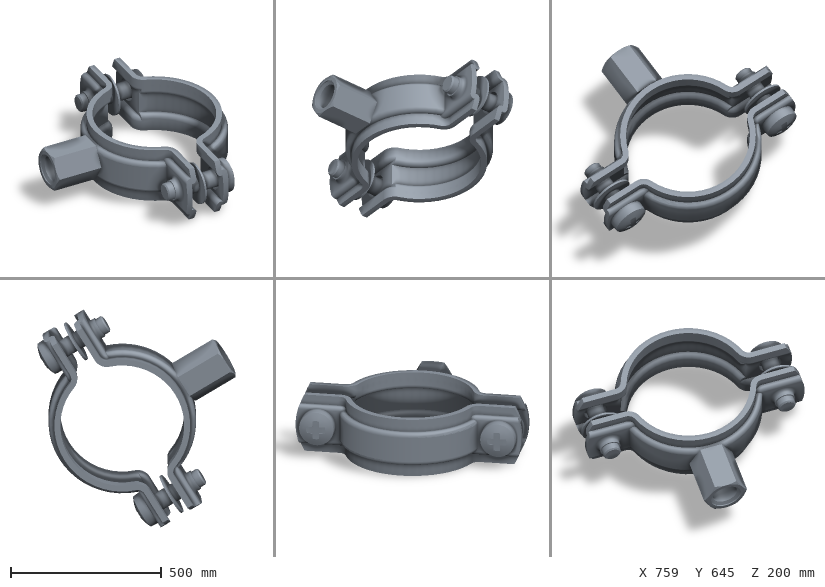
import cadquery as cq
import math

OVERALL_LENGTH = 759.0
BAND_WIDTH = 200.0
PLATE_THICKNESS = 20.0
RING_INNER_RADIUS = 205.0
FLANGE_FACE_Y = 38.0
BEND_START_X = 237.0
FLANGE_END_RADIUS = 196.5

BEAD_HEIGHT = 20.0
FLANGE_BEAD_HALF_WIDTH = 69.0
RING_BEAD_HALF_WIDTH = 58.0
BEAD_WALL = 18.0
FLANGE_BEAD_FILLET = 14.0
RING_BEAD_FILLET = 15.0
LIP_FILLET = 15.0

SCREW_X = 304.5
SHANK_DIAMETER = 60.0
CLEARANCE_HOLE_DIAMETER = 79.0
THREAD_HOLE_DIAMETER = 61.0
SCREW_TIP_Y = -124.0
SCREW_TIP_CHAMFER = 4.5
HEAD_BASE_RADIUS = 60.0
HEAD_RIM_RADIUS = 58.0
HEAD_RIM_HEIGHT = 31.0
HEAD_HEIGHT = 46.0
HEAD_SIDE_BULGE = 1.0
RECESS_WIDTH = 22.0
RECESS_DEPTH = 4.5
DISC_DIAMETER = 142.0
DISC_THICKNESS = 7.0
DISC_TOP_Y = -2.0

COLLAR_DIAMETER = 70.0
COLLAR_HEIGHT = 21.0
COLLAR_FILLET = 11.0

HEX_ACROSS_FLATS = 130.0
HEX_START_Y = -238.0
HEX_END_Y = -400.0
HEX_TIP_CHAMFER = 6.0
NUT_MOUTH_DIAMETER = 104.0
NUT_BORE_DIAMETER = 83.5
NUT_PILOT_DIAMETER = 67.0
NUT_MOUTH_DEPTH = 4.0
NUT_MOUTH_CONE = 7.0
NUT_BORE_END_Y = -258.0
NUT_PILOT_CONE = 5.0

HALF_LENGTH = OVERALL_LENGTH / 2
HALF_WIDTH = BAND_WIDTH / 2
PLATE_OUTER_RADIUS = RING_INNER_RADIUS + PLATE_THICKNESS
FLANGE_BACK_Y = FLANGE_FACE_Y + PLATE_THICKNESS
WEB_BACK_Y = FLANGE_BACK_Y + BEAD_HEIGHT
BEAD_OUTER_RADIUS = PLATE_OUTER_RADIUS + BEAD_HEIGHT
BEND_OUTER_RADIUS = (
    BEND_START_X**2 + FLANGE_FACE_Y**2 - RING_INNER_RADIUS**2
) / (2 * (RING_INNER_RADIUS - FLANGE_FACE_Y))
BEND_INNER_RADIUS = BEND_OUTER_RADIUS - PLATE_THICKNESS
BEND_CENTRE_Y = FLANGE_FACE_Y + BEND_OUTER_RADIUS
BEND_ANGLE = math.atan2(BEND_CENTRE_Y, BEND_START_X)


def on_ring(radius):
    """Point on the circle of the given radius where the right-hand bend begins."""
    return radius * math.cos(BEND_ANGLE), radius * math.sin(BEND_ANGLE)


def on_bend(radius):
    """Middle point of the right-hand bend arc of the given radius."""
    towards_ring = BEND_ANGLE + math.pi
    towards_flange = 3 * math.pi / 2
    middle_angle = (towards_ring + towards_flange) / 2
    x = BEND_START_X + radius * math.cos(middle_angle)
    y = BEND_CENTRE_Y + radius * math.sin(middle_angle)
    return x, y


def mirrored(point):
    """The same point on the left-hand side."""
    return -point[0], point[1]


def plate_strip(bottom_z):
    """Upper edge strip of the half band, rounded along its inner bottom edge."""
    ring_in = on_ring(RING_INNER_RADIUS)
    ring_out = on_ring(PLATE_OUTER_RADIUS)
    bend_in = on_bend(BEND_OUTER_RADIUS)
    bend_out = on_bend(BEND_INNER_RADIUS)
    strip = (
        cq.Workplane("XY", origin=(0, 0, bottom_z))
        .moveTo(-HALF_LENGTH, FLANGE_FACE_Y)
        .lineTo(-BEND_START_X, FLANGE_FACE_Y)
        .threePointArc(mirrored(bend_in), mirrored(ring_in))
        .threePointArc((0, RING_INNER_RADIUS), ring_in)
        .threePointArc(bend_in, (BEND_START_X, FLANGE_FACE_Y))
        .lineTo(HALF_LENGTH, FLANGE_FACE_Y)
        .lineTo(HALF_LENGTH, FLANGE_BACK_Y)
        .lineTo(BEND_START_X, FLANGE_BACK_Y)
        .threePointArc(bend_out, ring_out)
        .threePointArc((0, PLATE_OUTER_RADIUS), mirrored(ring_out))
        .threePointArc(mirrored(bend_out), (-BEND_START_X, FLANGE_BACK_Y))
        .lineTo(-HALF_LENGTH, FLANGE_BACK_Y)
        .close()
        .extrude(HALF_WIDTH - bottom_z)
    )
    corner = (-(HALF_LENGTH + BEND_START_X) / 2, FLANGE_FACE_Y, bottom_z)
    return strip.edges(cq.selectors.NearestToPointSelector(corner)).fillet(LIP_FILLET)


def floor_block():
    """Block reaching from the middle plane to the floor of the flange grooves."""
    return cq.Workplane("XY").box(
        2 * OVERALL_LENGTH, FLANGE_BACK_Y, 2 * BAND_WIDTH, centered=(True, False, True)
    )


def lips():
    """The two edge strips; the groove between them is wider at the flanges than at the ring."""
    flange_part = plate_strip(FLANGE_BEAD_HALF_WIDTH - BEAD_WALL).intersect(floor_block())
    ring_part = plate_strip(RING_BEAD_HALF_WIDTH - BEAD_WALL).cut(floor_block())
    upper = flange_part.union(ring_part)
    return upper.union(upper.mirror("XY"))


def ring_core():
    """Cylinder filling the ring up to the bottom of the groove."""
    return cq.Workplane("XY").circle(PLATE_OUTER_RADIUS).extrude(BAND_WIDTH, both=True)


def ring_bead():
    """Half ring that closes the groove on the outside."""
    ring = (
        cq.Workplane("XY", origin=(0, 0, -RING_BEAD_HALF_WIDTH))
        .circle(BEAD_OUTER_RADIUS)
        .extrude(2 * RING_BEAD_HALF_WIDTH)
        .edges()
        .fillet(RING_BEAD_FILLET)
    )
    keep = cq.Workplane("XY", origin=(0, FLANGE_BACK_Y, 0)).box(
        OVERALL_LENGTH, OVERALL_LENGTH, BAND_WIDTH, centered=(True, False, True)
    )
    return ring.cut(ring_core()).intersect(keep)


def flange_beads():
    """Raised flat webs of both flanges, ending at the ring's groove."""
    web = (
        cq.Workplane("XY", origin=(0, FLANGE_BACK_Y, 0))
        .box(OVERALL_LENGTH, BEAD_HEIGHT, 2 * FLANGE_BEAD_HALF_WIDTH, centered=(True, False, True))
        .edges("|X and >Y")
        .fillet(FLANGE_BEAD_FILLET)
    )
    return web.cut(ring_core())


def end_trim():
    """Block as wide as the band, with arched flange ends."""
    arc_drop = FLANGE_END_RADIUS - math.sqrt(FLANGE_END_RADIUS**2 - HALF_WIDTH**2)
    corner_x = HALF_LENGTH - arc_drop
    return (
        cq.Workplane("XZ")
        .moveTo(-corner_x, -HALF_WIDTH)
        .lineTo(corner_x, -HALF_WIDTH)
        .threePointArc((HALF_LENGTH, 0), (corner_x, HALF_WIDTH))
        .lineTo(-corner_x, HALF_WIDTH)
        .threePointArc((-HALF_LENGTH, 0), (-corner_x, -HALF_WIDTH))
        .close()
        .extrude(OVERALL_LENGTH, both=True)
    )


def screw_holes(diameter):
    """Cutter for the holes of both screws."""
    return (
        cq.Workplane("XZ")
        .pushPoints([(-SCREW_X, 0), (SCREW_X, 0)])
        .circle(diameter / 2)
        .extrude(OVERALL_LENGTH, both=True)
    )


def half_band():
    """Half clamp on the +Y side, without screw holes."""
    return lips().union(ring_bead()).union(flange_beads()).intersect(end_trim())


def collar(x):
    """Threaded collar with a flared foot, pointing to -Y."""
    radius = COLLAR_DIAMETER / 2
    foot = radius + COLLAR_FILLET
    return (
        cq.Workplane("XY", origin=(x, -WEB_BACK_Y, 0))
        .moveTo(0, 0)
        .lineTo(foot, 0)
        .radiusArc((radius, -COLLAR_FILLET), -COLLAR_FILLET)
        .lineTo(radius, -COLLAR_HEIGHT)
        .lineTo(0, -COLLAR_HEIGHT)
        .close()
        .revolve(360, (0, 0, 0), (0, 1, 0))
    )


def nut_bore():
    """Stepped bore through the whole nut, stopping at the band."""
    mouth = NUT_MOUTH_DIAMETER / 2
    bore = NUT_BORE_DIAMETER / 2
    pilot = NUT_PILOT_DIAMETER / 2
    return (
        cq.Workplane("XY")
        .moveTo(0, HEX_END_Y)
        .lineTo(mouth, HEX_END_Y)
        .lineTo(mouth, HEX_END_Y + NUT_MOUTH_DEPTH)
        .lineTo(bore, HEX_END_Y + NUT_MOUTH_DEPTH + NUT_MOUTH_CONE)
        .lineTo(bore, NUT_BORE_END_Y - NUT_PILOT_CONE)
        .lineTo(pilot, NUT_BORE_END_Y)
        .lineTo(pilot, HEX_START_Y)
        .lineTo(0, HEX_START_Y)
        .close()
        .revolve(360, (0, 0, 0), (0, 1, 0))
    )


def hex_nut():
    """Long bored hexagon with one chamfered end."""
    corner_radius = HEX_ACROSS_FLATS / math.sqrt(3)
    hexagon = (
        cq.Workplane("XZ", origin=(0, HEX_START_Y, 0))
        .polygon(6, 2 * corner_radius)
        .extrude(HEX_START_Y - HEX_END_Y)
    )
    envelope = (
        cq.Workplane("XY")
        .moveTo(0, HEX_END_Y)
        .lineTo(HEX_ACROSS_FLATS / 2, HEX_END_Y)
        .lineTo(corner_radius, HEX_END_Y + HEX_TIP_CHAMFER)
        .lineTo(corner_radius, HEX_START_Y)
        .lineTo(0, HEX_START_Y)
        .close()
        .revolve(360, (0, 0, 0), (0, 1, 0))
    )
    return hexagon.intersect(envelope).cut(nut_bore())


def screw(x):
    """Cross-slotted domed-head screw with its retaining disc, pointing to -Y."""
    shank = SHANK_DIAMETER / 2
    rim_y = WEB_BACK_Y + HEAD_RIM_HEIGHT
    top_y = WEB_BACK_Y + HEAD_HEIGHT
    dome_rise = top_y - rim_y
    dome_radius = (HEAD_RIM_RADIUS**2 + dome_rise**2) / (2 * dome_rise)
    side_middle = (
        (HEAD_BASE_RADIUS + HEAD_RIM_RADIUS) / 2 + HEAD_SIDE_BULGE,
        WEB_BACK_Y + HEAD_RIM_HEIGHT / 2,
    )
    body = (
        cq.Workplane("XY", origin=(x, 0, 0))
        .moveTo(0, SCREW_TIP_Y)
        .lineTo(shank - SCREW_TIP_CHAMFER, SCREW_TIP_Y)
        .lineTo(shank, SCREW_TIP_Y + SCREW_TIP_CHAMFER)
        .lineTo(shank, WEB_BACK_Y)
        .lineTo(HEAD_BASE_RADIUS, WEB_BACK_Y)
        .threePointArc(side_middle, (HEAD_RIM_RADIUS, rim_y))
        .radiusArc((0, top_y), -dome_radius)
        .close()
        .revolve(360, (0, 0, 0), (0, 1, 0))
    )
    disc = (
        cq.Workplane("XZ", origin=(x, DISC_TOP_Y, 0))
        .circle(DISC_DIAMETER / 2)
        .extrude(DISC_THICKNESS)
    )
    slot = (
        cq.Workplane("XZ", origin=(x, top_y, 0))
        .rect(2 * HEAD_BASE_RADIUS, RECESS_WIDTH)
        .extrude(RECESS_DEPTH)
    )
    cross = slot.union(slot.rotate((x, 0, 0), (x, 1, 0), 90))
    return body.union(disc).cut(cross)


upper_half = half_band().cut(screw_holes(CLEARANCE_HOLE_DIAMETER))

lower_half = half_band().mirror("XZ").union(hex_nut())
for screw_x in (-SCREW_X, SCREW_X):
    lower_half = lower_half.union(collar(screw_x))
lower_half = lower_half.cut(screw_holes(THREAD_HOLE_DIAMETER))

screws = [screw(screw_x) for screw_x in (-SCREW_X, SCREW_X)]

result = cq.Compound.makeCompound(
    [upper_half.val(), lower_half.val(), *[body.val() for body in screws]]
)